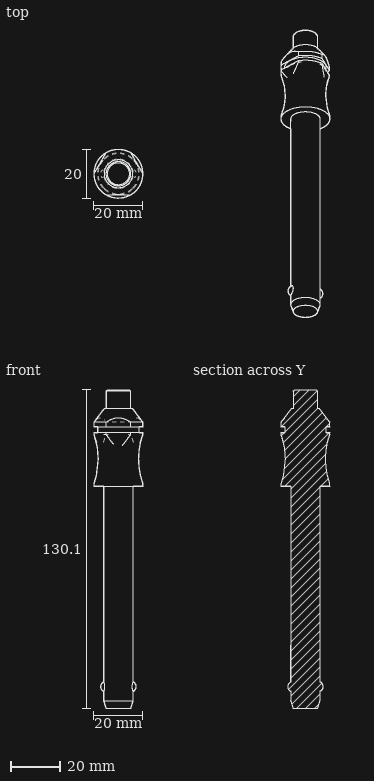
import cadquery as cq
import math

total_length = 130.1

shank_radius = 6.0
shank_length = 90.7
tip_radius = 5.0
tip_taper_height = 3.1

ball_radius = 2.25
ball_reach = 7.25
ball_height = 9.0

grip_radius = 10.0
grip_length = 22.0
grip_bottom_rim = 1.2
grip_top_rim = 0.8
waist_arc_radius = 30.0

groove_radius = 8.5
groove_width = 2.3

collar_height = 1.9
cone_height = 4.8
rim_radius = 6.4
rim_height = 0.8
rim_top_radius = 5.75

button_radius = 5.0
button_chamfer = 0.5

flat_count = 3
flat_width = 10.0
flat_distance = math.sqrt(grip_radius**2 - (flat_width / 2) ** 2)
first_flat_angle = -90.0

grip_top = shank_length + grip_length
arc_bottom = shank_length + grip_bottom_rim
arc_top = grip_top - grip_top_rim
waist_height = (arc_bottom + arc_top) / 2
waist_half_height = (arc_top - arc_bottom) / 2
waist_sag = waist_arc_radius - math.sqrt(waist_arc_radius**2 - waist_half_height**2)
waist_radius = grip_radius - waist_sag
collar_bottom = grip_top + groove_width
collar_top = collar_bottom + collar_height
rim_bottom = collar_top + cone_height
rim_top = rim_bottom + rim_height


def make_turned_body():
    """Revolve the half profile of the pin, grip, collar and button about Z."""
    profile = (
        cq.Workplane("XZ")
        .moveTo(0, 0)
        .lineTo(tip_radius, 0)
        .lineTo(shank_radius, tip_taper_height)
        .lineTo(shank_radius, shank_length)
        .lineTo(grip_radius, shank_length)
        .lineTo(grip_radius, arc_bottom)
        .threePointArc((waist_radius, waist_height), (grip_radius, arc_top))
        .lineTo(grip_radius, grip_top)
        .lineTo(groove_radius, grip_top)
        .lineTo(groove_radius, collar_bottom)
        .lineTo(grip_radius, collar_bottom)
        .lineTo(grip_radius, collar_top)
        .lineTo(rim_radius, rim_bottom)
        .lineTo(rim_top_radius, rim_top)
        .lineTo(button_radius, rim_top)
        .lineTo(button_radius, total_length - button_chamfer)
        .lineTo(button_radius - button_chamfer, total_length)
        .lineTo(0, total_length)
        .close()
    )
    return profile.revolve(360, (0, 0, 0), (0, 1, 0))


def make_flat_cutter(angle):
    """Block that removes everything beyond one flat, from the waist to the top of the cone."""
    return (
        cq.Workplane("XY", origin=(0, 0, waist_height))
        .box(grip_radius, 2 * grip_radius, rim_top - waist_height, centered=(False, True, False))
        .translate((flat_distance, 0, 0))
        .rotate((0, 0, 0), (0, 0, 1), angle)
    )


def make_ball(side):
    """Locking ball on the +X (side = 1) or -X (side = -1) face of the shank."""
    center_x = side * (ball_reach - ball_radius)
    return cq.Workplane("XY").sphere(ball_radius).translate((center_x, 0, ball_height))


result = make_turned_body()
for index in range(flat_count):
    result = result.cut(make_flat_cutter(first_flat_angle + index * 360 / flat_count))
for side in (1, -1):
    result = result.union(make_ball(side))